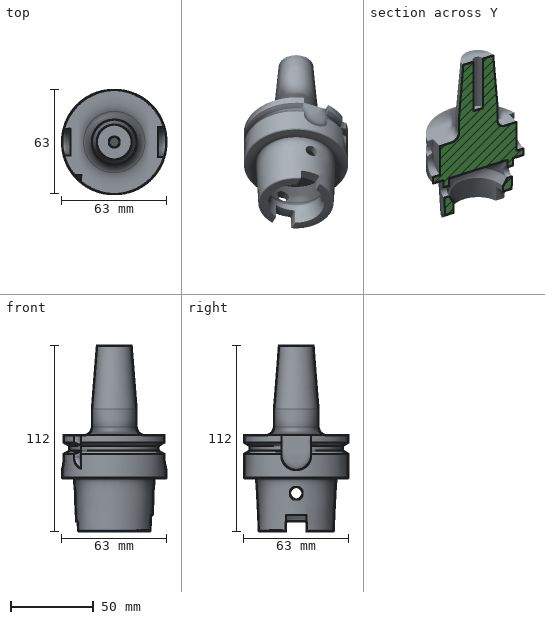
import cadquery as cq
import math


NOSE_TOP = 80.0
SHANK_BOTTOM = -32.0

NOSE_TIP_RADIUS = 10.5
NOSE_BASE_RADIUS = 13.5
NOSE_HALF_ANGLE = 4.5
NOSE_FILLET = 5.0
TOOL_BORE_DIAMETER = 6.5
TOOL_BORE_DEPTH = 36.0

FLANGE_RADIUS = 31.5
FLANGE_TOP = 26.0
FLANGE_CHAMFER = 0.5
GROOVE_CENTER = 18.125
GROOVE_RIM_WIDTH = 7.0
GROOVE_DEPTH = 3.2
GROOVE_FLANK_ANGLE = 30.0
GROOVE_FILLET = 0.5

SHANK_TOP_RADIUS = 24.3
SHANK_TAPER = 0.05
SHANK_FILLET = 1.0
MOUTH_RADIUS = 17.0
CAVITY_RADIUS = 20.0
CLAMP_SHOULDER_BOTTOM = -18.0
CLAMP_SHOULDER_ANGLE = 30.0
CAVITY_ROOF = 0.0

SLOT_BOTTOM = 5.0
DRIVE_SLOT_FLOOR = 26.5
LEFT_SLOT_WIDTH = 16.0
RIGHT_SLOT_WIDTH = 18.0
CORNER_NOTCH_OFFSET = 20.0

CROSS_HOLE_DIAMETER = 7.5
CROSS_HOLE_HEIGHT = -9.0
KEYWAY_WIDTH = 12.54
KEYWAY_FILLET = 1.0
LEFT_KEYWAY_DEPTH = 6.0
RIGHT_KEYWAY_DEPTH = 10.0


def outer_body():
    """Nose, flange and shank as one solid of revolution."""
    shank_bottom_radius = SHANK_TOP_RADIUS + SHANK_TAPER * SHANK_BOTTOM
    cone_length = (NOSE_BASE_RADIUS - NOSE_TIP_RADIUS) / math.tan(math.radians(NOSE_HALF_ANGLE))
    fillet_center_r = NOSE_BASE_RADIUS + NOSE_FILLET
    fillet_center_z = FLANGE_TOP + NOSE_FILLET
    fillet_reach = NOSE_FILLET * math.sqrt(0.5)

    profile = (
        cq.Workplane("XZ")
        .moveTo(0, SHANK_BOTTOM)
        .lineTo(shank_bottom_radius, SHANK_BOTTOM)
        .lineTo(SHANK_TOP_RADIUS, 0)
        .lineTo(FLANGE_RADIUS - FLANGE_CHAMFER, 0)
        .lineTo(FLANGE_RADIUS, FLANGE_CHAMFER)
        .lineTo(FLANGE_RADIUS, FLANGE_TOP)
        .lineTo(fillet_center_r, FLANGE_TOP)
        .threePointArc(
            (fillet_center_r - fillet_reach, fillet_center_z - fillet_reach),
            (NOSE_BASE_RADIUS, fillet_center_z),
        )
        .lineTo(NOSE_BASE_RADIUS, NOSE_TOP - cone_length)
        .lineTo(NOSE_TIP_RADIUS, NOSE_TOP)
        .lineTo(0, NOSE_TOP)
        .close()
    )
    body = profile.revolve(360, (0, 0, 0), (0, 1, 0))
    return body.faces("<Z").edges().fillet(SHANK_FILLET)


def gripper_groove():
    """Ring that cuts the V-shaped groove, with rounded corners along its floor."""
    floor_radius = FLANGE_RADIUS - GROOVE_DEPTH
    flank_height = GROOVE_DEPTH * math.tan(math.radians(GROOVE_FLANK_ANGLE))
    rim_half = GROOVE_RIM_WIDTH / 2
    floor_half = rim_half - flank_height
    profile = (
        cq.Workplane("XZ")
        .moveTo(FLANGE_RADIUS, GROOVE_CENTER - rim_half)
        .lineTo(floor_radius, GROOVE_CENTER - floor_half)
        .lineTo(floor_radius, GROOVE_CENTER + floor_half)
        .lineTo(FLANGE_RADIUS, GROOVE_CENTER + rim_half)
        .close()
    )
    ring = profile.revolve(360, (0, 0, 0), (0, 1, 0))
    floor_edges = cq.selectors.RadiusNthSelector(0)
    return ring.edges(floor_edges).fillet(GROOVE_FILLET)


def clamping_cavity():
    """Hollow of the shank: a narrow mouth widening over the clamping shoulder."""
    shoulder_height = (CAVITY_RADIUS - MOUTH_RADIUS) / math.tan(math.radians(CLAMP_SHOULDER_ANGLE))
    profile = (
        cq.Workplane("XZ")
        .moveTo(0, SHANK_BOTTOM)
        .lineTo(MOUTH_RADIUS, SHANK_BOTTOM)
        .lineTo(MOUTH_RADIUS, CLAMP_SHOULDER_BOTTOM)
        .lineTo(CAVITY_RADIUS, CLAMP_SHOULDER_BOTTOM + shoulder_height)
        .lineTo(CAVITY_RADIUS, CAVITY_ROOF)
        .lineTo(0, CAVITY_ROOF)
        .close()
    )
    return profile.revolve(360, (0, 0, 0), (0, 1, 0))


def tool_bore():
    """Blind bore for the tool shank, sunk from the nose tip."""
    return (
        cq.Workplane("XY", origin=(0, 0, NOSE_TOP - TOOL_BORE_DEPTH))
        .circle(TOOL_BORE_DIAMETER / 2)
        .extrude(TOOL_BORE_DEPTH)
    )


def flange_slot(side, width, center_y, floor_distance):
    """Slot open to the flange top and rim; side is -1 for -X and +1 for +X."""
    radius = width / 2
    arc_center_z = SLOT_BOTTOM + radius
    return (
        cq.Workplane("YZ", origin=(side * floor_distance, 0, 0))
        .moveTo(center_y - radius, FLANGE_TOP)
        .lineTo(center_y - radius, arc_center_z)
        .threePointArc((center_y, SLOT_BOTTOM), (center_y + radius, arc_center_z))
        .lineTo(center_y + radius, FLANGE_TOP)
        .close()
        .extrude(side * (FLANGE_RADIUS - floor_distance))
    )


def cross_hole():
    """Radial hole along X through both shank walls."""
    return (
        cq.Workplane("YZ", origin=(0, 0, CROSS_HOLE_HEIGHT))
        .circle(CROSS_HOLE_DIAMETER / 2)
        .extrude(SHANK_TOP_RADIUS, both=True)
    )


def keyway(side, depth):
    """Drive keyway in the shank end, cut from the axis out through one wall."""
    return (
        cq.Workplane("XY", origin=(side * SHANK_TOP_RADIUS / 2, 0, SHANK_BOTTOM))
        .box(SHANK_TOP_RADIUS, KEYWAY_WIDTH, depth, centered=(True, True, False))
        .edges("|X and >Z")
        .fillet(KEYWAY_FILLET)
    )


corner_slot_center = -(CORNER_NOTCH_OFFSET + LEFT_SLOT_WIDTH / 2)

result = (
    outer_body()
    .cut(gripper_groove())
    .cut(clamping_cavity())
    .cut(tool_bore())
    .cut(flange_slot(-1, LEFT_SLOT_WIDTH, 0, DRIVE_SLOT_FLOOR))
    .cut(flange_slot(1, RIGHT_SLOT_WIDTH, 0, DRIVE_SLOT_FLOOR))
    .cut(flange_slot(-1, LEFT_SLOT_WIDTH, corner_slot_center, CORNER_NOTCH_OFFSET))
    .cut(cross_hole())
    .cut(keyway(-1, LEFT_KEYWAY_DEPTH))
    .cut(keyway(1, RIGHT_KEYWAY_DEPTH))
)